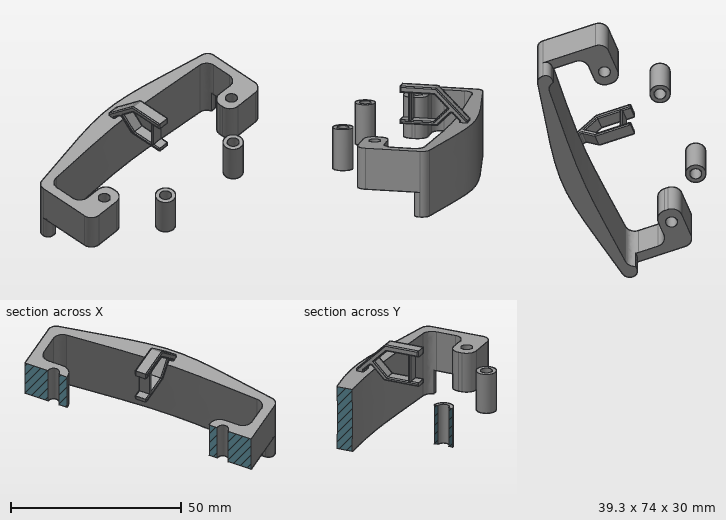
import cadquery as cq
import math

bracket_depth = 27.4
bracket_width = 74.0
bracket_height = 20.0
ear_height = 12.5
side_wall = 3.0
outer_corner_radius = 2.5
inner_corner_radius = 3.0
ear_radius = 3.0
ear_end_radius = 3.2
half_width = bracket_width / 2
inner_half_width = half_width - side_wall
ear_underside = bracket_height - ear_height

bow_half_width = 6.8
outer_flank_angle = math.radians(11.0)
inner_flank_angle = math.radians(4.0)
bow_thickness = 6.1

ear_width = 7.4
ear_length = 13.75
ear_inner_x = bracket_depth - ear_width
ear_end_y = half_width - ear_length
ear_hole_x = bracket_depth - ear_width / 2
ear_hole_y = 27.65
bore_diameter = 3.5

lip_end_x = 10.0
lip_radius = 2.0

sleeve_diameter = 6.0
sleeve_x = 36.27
sleeve_y = 14.7

clip_width = 3.9
clip_height = 10.0
clip_end_x = 22.0
clip_top = bracket_height + clip_height
top_arm_thickness = 1.95
foot_x = 1.7
foot_height = 0.55
slope_run = 2.45
brace_run = 2.3
brace_start_z = 24.05
shelf_top = 19.8
shelf_thickness = 1.2
post_x = 18.6
post_thickness = 0.9
clip_bend_radius = 0.7
fork_radius = 0.5
clip_chamfer = 0.35


def bow_x(crest_x, flank_angle, y):
    """X of a bowed face on its nearly straight flank at distance y from the middle."""
    return crest_x + (y - bow_half_width) * math.tan(flank_angle)


def bowed_block(crest_x, flank_angle, far_x, block_half_width):
    """Block with one smoothly bowed face towards -X."""
    mid_y = block_half_width / 2
    mid_x = bow_x(crest_x, flank_angle, mid_y)
    end_x = bow_x(crest_x, flank_angle, block_half_width)
    slope = math.tan(flank_angle)
    return (
        cq.Workplane("XY")
        .moveTo(far_x, -block_half_width)
        .lineTo(end_x, -block_half_width)
        .spline(
            [(mid_x, -mid_y), (crest_x, 0), (mid_x, mid_y), (end_x, block_half_width)],
            tangents=[(-slope, 1), (slope, 1)],
            includeCurrent=True,
        )
        .lineTo(far_x, block_half_width)
        .close()
        .extrude(bracket_height)
    )


def box_between(low, high):
    """Axis-aligned box between two opposite corners."""
    size = [b - a for a, b in zip(low, high)]
    return cq.Workplane("XY").box(*size, centered=False).translate(low)


def make_bracket():
    body = bowed_block(0, outer_flank_angle, bracket_depth, half_width)
    body = body.edges("|Z").edges("<Y or >Y").edges("<X").fillet(outer_corner_radius)
    body = body.edges("|Z").edges(">X").fillet(ear_radius)

    space = bowed_block(bow_thickness, inner_flank_angle, ear_inner_x, inner_half_width)
    space = space.edges("|Z").edges("<Y or >Y").fillet(inner_corner_radius)
    body = body.cut(space)
    mouth = box_between(
        (ear_inner_x, -ear_end_y, 0),
        (bracket_depth, ear_end_y, bracket_height),
    )
    body = body.cut(mouth)
    margin = side_wall / 2
    ear_ends = cq.selectors.BoxSelector(
        (ear_inner_x - margin, -ear_end_y - margin, -margin),
        (bracket_depth + margin, ear_end_y + margin, bracket_height + margin),
    )
    body = body.edges("|Z").edges(ear_ends).fillet(ear_end_radius)

    relief = box_between(
        (lip_end_x, -half_width, 0),
        (bracket_depth, half_width, ear_underside),
    )
    body = body.cut(relief)
    for side in (-1, 1):
        lip_edge = cq.selectors.NearestToPointSelector(
            (lip_end_x, side * half_width, ear_underside / 2)
        )
        body = body.edges("|Z").edges(lip_edge).fillet(lip_radius)

    ear_holes = (
        cq.Workplane("XY")
        .pushPoints([(ear_hole_x, -ear_hole_y), (ear_hole_x, ear_hole_y)])
        .circle(bore_diameter / 2)
        .extrude(bracket_height)
    )
    return body.cut(ear_holes)


def make_sleeve(y):
    return (
        cq.Workplane("XY", origin=(sleeve_x, y, ear_underside))
        .circle(sleeve_diameter / 2)
        .circle(bore_diameter / 2)
        .extrude(ear_height)
    )


def make_clip():
    foot_shoulder = bracket_height + foot_height
    slope_outer = foot_x - foot_shoulder
    slope_inner = slope_outer + slope_run
    brace_inner = slope_inner + 2 * brace_start_z
    brace_outer = brace_inner - brace_run
    foot_back_x = slope_inner + foot_shoulder
    arm_underside = clip_top - top_arm_thickness
    shelf_underside = shelf_top - shelf_thickness
    fork_z = (brace_outer - slope_inner) / 2

    outline = [
        (foot_x, bracket_height),
        (foot_x, foot_shoulder),
        (slope_outer + clip_top, clip_top),
        (clip_end_x, clip_top),
        (clip_end_x, arm_underside),
        (post_x + post_thickness, arm_underside),
        (post_x + post_thickness, shelf_top),
        (clip_end_x, shelf_top),
        (clip_end_x, shelf_underside),
        (brace_outer - shelf_underside, shelf_underside),
        (slope_inner + fork_z, fork_z),
        (foot_back_x, foot_shoulder),
        (foot_back_x, bracket_height),
    ]
    window = [
        (slope_inner + arm_underside, arm_underside),
        (post_x, arm_underside),
        (post_x, shelf_top),
        (brace_inner - shelf_top, shelf_top),
        (slope_inner + brace_start_z, brace_start_z),
    ]
    plate = cq.Workplane("XZ").polyline(outline).close().extrude(clip_width / 2, both=True)
    opening = cq.Workplane("XZ").polyline(window).close().extrude(clip_width / 2, both=True)
    for corner, radius in (
        ((slope_outer + clip_top, 0, clip_top), clip_bend_radius),
        ((slope_inner + fork_z, 0, fork_z), fork_radius),
    ):
        corner_edge = cq.selectors.NearestToPointSelector(corner)
        plate = plate.edges("|Y").edges(corner_edge).fillet(radius)

    side_edges = plate.cut(opening).faces("<Y or >Y").edges()
    foot_edges = cq.selectors.BoxSelector(
        (foot_x, -clip_width, bracket_height - clip_chamfer),
        (foot_back_x, clip_width, bracket_height + clip_chamfer / 2),
    )
    return side_edges.edges(cq.selectors.InverseSelector(foot_edges)).chamfer(clip_chamfer)


bracket = make_bracket()
sleeves = [make_sleeve(y) for y in (-sleeve_y, sleeve_y)]
clip = make_clip()

result = cq.Compound.makeCompound(
    [bracket.val(), clip.val(), *[sleeve.val() for sleeve in sleeves]]
)